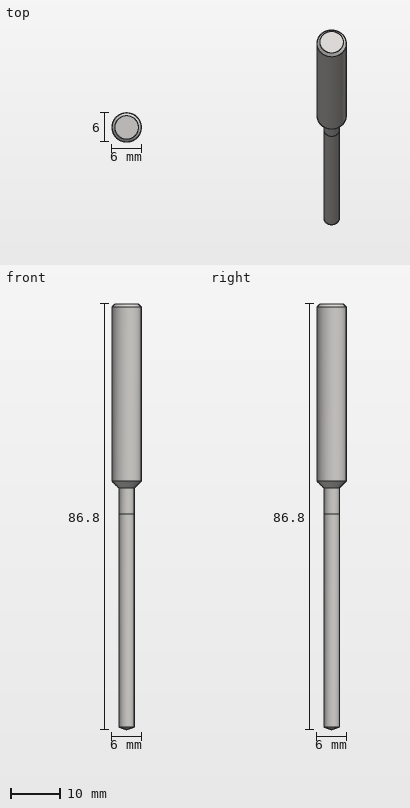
import cadquery as cq
import math

overall_length = 86.79

shank_diameter = 6.0
shank_length = 36.1
shank_end_chamfer = 0.6

taper_half_angle = 45.0

cut_diameter = 3.2
cut_length = 44.0
point_angle = 140.0

shank_radius = shank_diameter / 2
cut_radius = cut_diameter / 2
point_height = cut_radius / math.tan(math.radians(point_angle / 2))
taper_height = (shank_radius - cut_radius) / math.tan(math.radians(taper_half_angle))

joint_z = cut_length
shank_bottom_z = overall_length - shank_length
taper_bottom_z = shank_bottom_z - taper_height


def turned(outline):
    """Revolve an outline of (radius, height) points about the Z axis."""
    return cq.Workplane("XZ").polyline(outline).close().revolve(360, (0, 0), (0, 1))


def make_holder():
    """Shank with a chamfered end, taper and neck, ending at the joint."""
    return turned([
        (0, joint_z),
        (cut_radius, joint_z),
        (cut_radius, taper_bottom_z),
        (shank_radius, shank_bottom_z),
        (shank_radius, overall_length - shank_end_chamfer),
        (shank_radius - shank_end_chamfer, overall_length),
        (0, overall_length),
    ])


def make_cutting_body():
    """Round cutting body with a conical point, butted against the neck."""
    return turned([
        (0, 0),
        (cut_radius, point_height),
        (cut_radius, joint_z),
        (0, joint_z),
    ])


holder = make_holder()
cutting_body = make_cutting_body()

result = cq.Compound.makeCompound([holder.val(), cutting_body.val()])